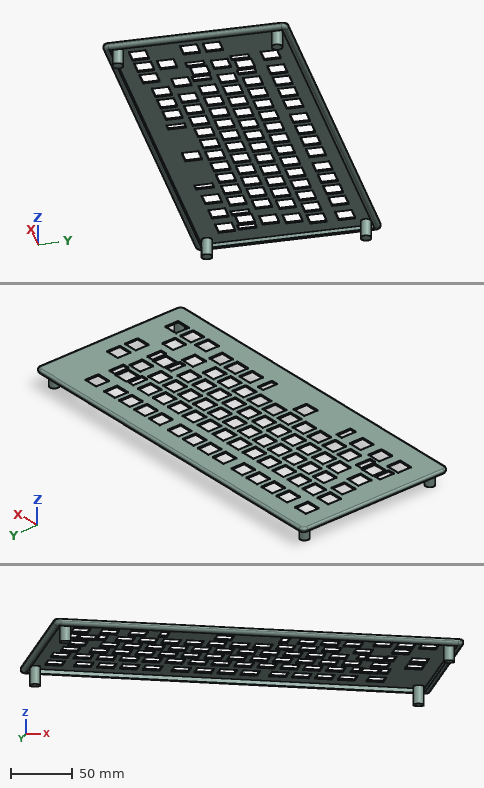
import cadquery as cq

plate_length = 340.0
plate_width = 155.0
plate_thickness = 5.0
corner_radius = 5.0
top_edge_radius = 2.0
edge_band = 0.07
bottom_edge_radius = plate_thickness - top_edge_radius - edge_band

panel_thickness = 1.5
rim_width = 5.0

overall_height = 17.0
post_diameter = 9.0
post_inset = 11.0
post_height = overall_height - panel_thickness

key_pitch = 19.0
key_hole = 14.0
grid_columns = 15.25
grid_rows = 5.5

slot_width = 6.8
slot_length = 15.0
slot_drop = 1.5
wide_key_slot_offset = 12.0
space_bar_slot_offset = 50.0


def key_run(first, count):
    """Columns of neighbouring keys, one pitch apart."""
    return [first + i for i in range(count)]


key_rows = [
    (0, [0] + key_run(1.25, 4) + key_run(5.5, 4) + key_run(9.75, 4) + [14]),
    (1.25, key_run(0, 13) + [13.5]),
    (2.25, [0.25] + key_run(1.5, 12) + [13.75, 15.25]),
    (3.25, [0.375] + key_run(1.75, 11) + [13.375, 15.25]),
    (4.25, [0.625] + key_run(2.25, 10) + [12.625]),
    (4.5, [14.25]),
    (5.25, [0.125, 1.375, 2.625, 6.375] + key_run(10, 3)),
    (5.5, key_run(13.25, 3)),
]

stabilized_keys = [
    (1.25, 13.5, wide_key_slot_offset),
    (3.25, 13.375, wide_key_slot_offset),
    (4.25, 0.625, wide_key_slot_offset),
    (5.25, 6.375, space_bar_slot_offset),
]


def key_center(row, column):
    x = (column - grid_columns / 2) * key_pitch
    y = (grid_rows / 2 - row) * key_pitch
    return x, y


def make_plate():
    """Rounded plate with its top at Z = 0, round edges and a recessed underside."""
    plate = cq.Workplane("XY").rect(plate_length, plate_width).extrude(-plate_thickness)
    plate = plate.edges("|Z").fillet(corner_radius)
    plate = plate.faces(">Z").edges().fillet(top_edge_radius)
    plate = plate.faces("<Z").edges().fillet(bottom_edge_radius)
    recess = (
        cq.Workplane("XY", origin=(0, 0, -plate_thickness))
        .rect(plate_length - 2 * rim_width, plate_width - 2 * rim_width)
        .extrude(plate_thickness - panel_thickness)
    )
    return plate.cut(recess)


def make_posts():
    return (
        cq.Workplane("XY", origin=(0, 0, -panel_thickness))
        .rect(plate_length - 2 * post_inset, plate_width - 2 * post_inset, forConstruction=True)
        .vertices()
        .circle(post_diameter / 2)
        .extrude(-post_height)
    )


def make_openings(centers, width, length):
    """Rectangular cutters through the panel."""
    return cq.Workplane("XY").pushPoints(centers).rect(width, length).extrude(-panel_thickness)


key_centers = [key_center(row, column) for row, columns in key_rows for column in columns]

slot_centers = []
for row, column, offset in stabilized_keys:
    x, y = key_center(row, column)
    for side in (-1, 1):
        slot_centers.append((x + side * offset, y - slot_drop))

result = (
    make_plate()
    .cut(make_openings(key_centers, key_hole, key_hole))
    .cut(make_openings(slot_centers, slot_width, slot_length))
    .union(make_posts())
)